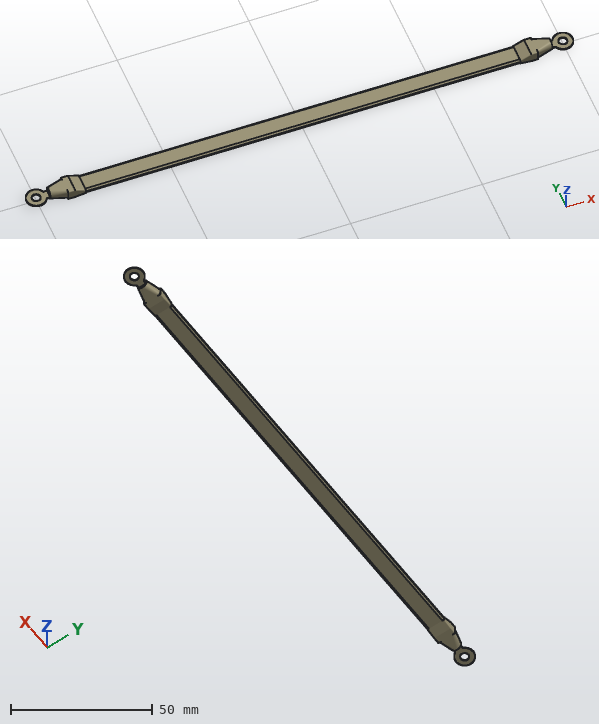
import cadquery as cq

hole_spacing = 200.0
eye_diameter = 7.48
eye_hole_diameter = 3.2
tongue_thickness = 0.5
tongue_width = 3.2

housing_height = 4.0
housing_width = 7.48
housing_corner_radius = 0.4
cone_base_radius = 0.9
wedge_tip_radius = 0.4
nose_width = 4.0
nose_corner_radius = 1.95
cone_base_width = 6.8

strap_thickness = 1.8
strap_width = housing_width
strap_edge_inset = 0.8
strap_edge_drop = 0.6

joint_plane_z = -0.6

nose_distance = 4.7
collar_start = 10.8
collar_end = 13.4
wedge_end = 17.5

half_spacing = hole_spacing / 2


def rounded_rectangle(width, height, radius):
    return cq.Sketch().rect(width, height).vertices().fillet(radius)


def section_plane(distance, z=0.0):
    """Plane across the strap, the given distance inward from the -X eye centre."""
    return cq.Workplane("YZ", origin=(distance - half_spacing, 0, z))


def loft_sections(start_sketch, start_distance, end_sketch, end_distance, end_z=0.0):
    """Loft between two sections along X."""
    length = end_distance - start_distance
    end_location = cq.Location(cq.Vector(0, end_z, length))
    sections = section_plane(start_distance).placeSketch(start_sketch, end_sketch.moved(end_location))
    return sections.loft(ruled=True)


def make_terminal():
    """Flat eye with a tongue reaching into the housing, at the -X end."""
    plate_plane = cq.Workplane("XY", origin=(-half_spacing, 0, joint_plane_z - tongue_thickness / 2))
    eye = plate_plane.circle(eye_diameter / 2).extrude(tongue_thickness)
    tongue = (
        plate_plane.center(collar_start / 2, 0)
        .rect(collar_start, tongue_width)
        .extrude(tongue_thickness)
    )
    hole = plate_plane.circle(eye_hole_diameter / 2).extrude(tongue_thickness)
    return eye.union(tongue).cut(hole)


def make_housing():
    """Cone, collar and wedge that enclose the joint at the -X end."""
    nose = rounded_rectangle(nose_width, housing_height, nose_corner_radius)
    cone_base = rounded_rectangle(cone_base_width, housing_height, cone_base_radius)
    collar_face = rounded_rectangle(housing_width, housing_height, housing_corner_radius)
    wedge_tip = rounded_rectangle(strap_width, strap_thickness, wedge_tip_radius)

    cone = loft_sections(nose, nose_distance, cone_base, collar_start)
    collar = section_plane(collar_start).placeSketch(collar_face).extrude(collar_end - collar_start)
    wedge = loft_sections(collar_face, collar_end, wedge_tip, wedge_end, joint_plane_z)
    return cone.union(collar).union(wedge)


def make_strap():
    """Flat strap with its four long edges bevelled."""
    half_width = strap_width / 2
    half_thickness = strap_thickness / 2
    half_flat = half_width - strap_edge_inset
    half_side = half_thickness - strap_edge_drop
    length = hole_spacing - 2 * collar_end
    return (
        section_plane(collar_end, joint_plane_z)
        .moveTo(-half_flat, half_thickness)
        .lineTo(half_flat, half_thickness)
        .lineTo(half_width, half_side)
        .lineTo(half_width, -half_side)
        .lineTo(half_flat, -half_thickness)
        .lineTo(-half_flat, -half_thickness)
        .lineTo(-half_width, -half_side)
        .lineTo(-half_width, half_side)
        .close()
        .extrude(length)
    )


end = make_terminal().union(make_housing())
result = make_strap().union(end).union(end.mirror("YZ"))